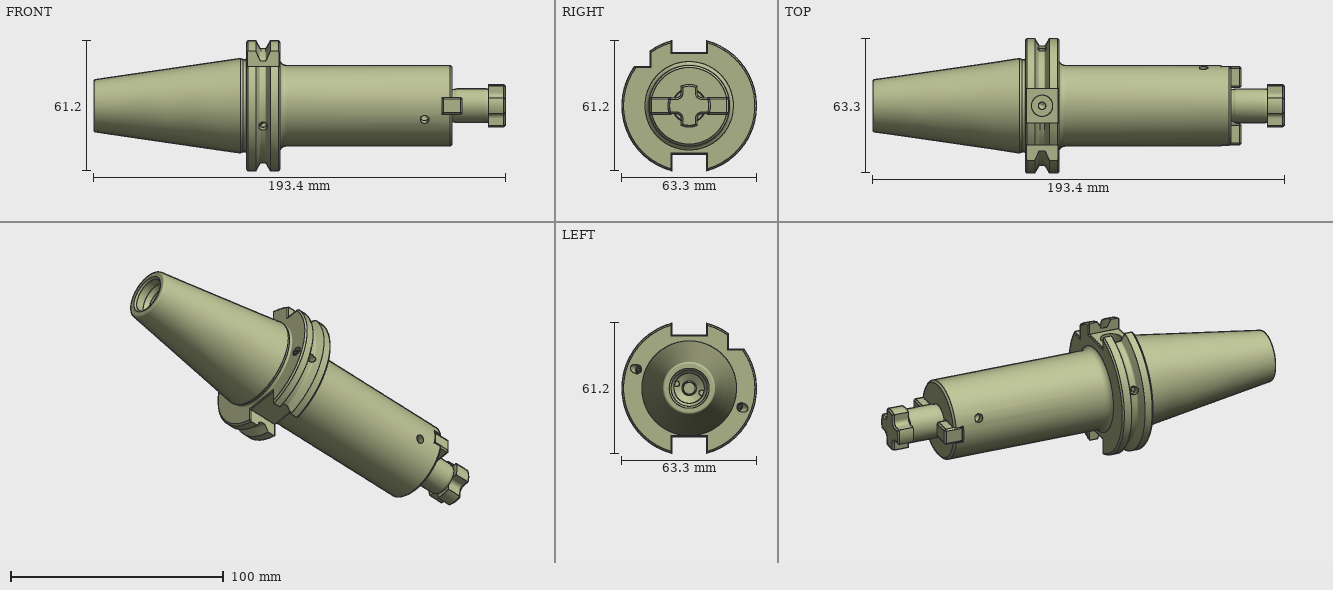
import cadquery as cq
import math


GAUGE_RADIUS = 22.225
TAPER_LENGTH = 68.4
TAPER_SLOPE = 7 / 48
TAPER_END_X = -TAPER_LENGTH
TAPER_END_RADIUS = GAUGE_RADIUS - TAPER_SLOPE * TAPER_LENGTH
TAPER_END_FILLET = 1.0
BORE_MOUTH_RADIUS = 9.4
BORE_LEAD_RADIUS = 8.5
BORE_LEAD_DEPTH = 5.0
BORE_LEAD_HALF_ANGLE = math.radians(30)
BORE_THREAD_RADIUS = 7.1
BORE_DEPTH = 38.0
DRILL_HALF_ANGLE = math.radians(59)

FLANGE_START_X = 3.2
FLANGE_WIDTH = 15.9
FLANGE_END_X = FLANGE_START_X + FLANGE_WIDTH
FLANGE_RADIUS = 31.665
FLANGE_CHAMFER = 0.8
RELIEF_CONE_START_X = 0.4
RELIEF_CONE_END_X = 1.7
RELIEF_DEPTH = 0.5
RELIEF_FILLET = 0.5
GROOVE_CENTER_X = 11.1
GROOVE_HALF_WIDTH = 3.45
GROOVE_BOTTOM_RADIUS = 28.1
GROOVE_FLANK_ANGLE = math.radians(30)
GROOVE_FILLET = 0.6

DRIVE_SLOT_WIDTH = 16.1
DRIVE_SLOT_TOP_Z = 25.0
DRIVE_SLOT_BOTTOM_Z = 22.8
CORNER_NOTCH_OFFSET = 18.5
SLOT_EDGE_CHAMFER = 0.5
CHIP_POCKET_DIAMETER = 10.0
CHIP_POCKET_DEPTH = 4.6
CHIP_PILOT_DIAMETER = 3.5
CHIP_PILOT_DEPTH = 3.0

SHANK_RADIUS = 19.0
SHANK_END_X = 100.0
SHANK_END_CHAMFER = 1.0
SHANK_ROOT_RADIUS = 3.4
SHANK_ROOT_HEIGHT = 1.8
SPIGOT_RADIUS = 8.0
SPIGOT_LENGTH = 17.0
SPIGOT_END_X = SHANK_END_X + SPIGOT_LENGTH
SPIGOT_NECK_LENGTH = 1.0
SPIGOT_CONE_LENGTH = 1.2
SPIGOT_CONE_DEPTH = SPIGOT_CONE_LENGTH * math.tan(math.radians(15))

KEY_WIDTH = 8.0
KEY_LENGTH = 9.5
KEY_START_X = 95.2
KEY_OUTER_Y = 18.4
KEY_INNER_Y = 8.5
KEY_CHAMFER = 0.8

SCREW_HEAD_RADIUS = 10.0
SCREW_HEAD_LENGTH = 8.0
SCREW_LOBE_WIDTH = 7.5
SCREW_LOBE_FILLET = 2.3
SCREW_HEAD_CHAMFER = 0.8
SCREW_SHANK_RADIUS = 3.4
SCREW_SHANK_LENGTH = 25.0
SCREW_TIP_CHAMFER = 0.6

COOLANT_ANGLE = 20.0
COOLANT_SIDES = (COOLANT_ANGLE, COOLANT_ANGLE + 180)
AXIAL_CHANNEL_RADIUS = 6.3
AXIAL_CHANNEL_DIAMETER = 2.6
FLANGE_CHANNEL_RADIUS = 26.6
FLANGE_CHANNEL_DIAMETER = 4.2
FLANGE_CHANNEL_TILT = math.radians(38)
RADIAL_HOLE_DIAMETER = 4.0
RADIAL_HOLE_DEPTH = 4.0
SHANK_HOLE_X = 87.0

GRUB_RECESS = 2.2
GRUB_LENGTH = 6.0
GRUB_SOCKET_WIDTH = 1.8
GRUB_SOCKET_DEPTH = 2.0
GRUB_CHAMFER = 0.5

MARGIN = 5.0


def revolve_about_x(outline):
    """Close an outline of (x, radius) and turn it about the X axis."""
    return outline.close().revolve(360, (0, 0, 0), (1, 0, 0))


def drill(start, direction, diameter, depth):
    """A drill square to the X axis that ends in a drill cone past its full depth."""
    radius = diameter / 2
    tip = radius / math.tan(DRILL_HALF_ANGLE)
    plane = cq.Plane(origin=start, xDir=(1, 0, 0), normal=direction)
    body = cq.Workplane(plane).circle(radius).extrude(depth)
    cone = cq.Solid.makeCone(radius, 0, tip, plane.origin + plane.zDir * depth, plane.zDir)
    return body.union(cq.Workplane(cone))


def turned_body():
    shank_root_length = math.sqrt(SHANK_ROOT_RADIUS**2 - (SHANK_ROOT_RADIUS - SHANK_ROOT_HEIGHT) ** 2)
    root_end_x = FLANGE_END_X + shank_root_length
    half_angle = math.acos(1 - SHANK_ROOT_HEIGHT / SHANK_ROOT_RADIUS) / 2
    root_mid = (
        root_end_x - SHANK_ROOT_RADIUS * math.sin(half_angle),
        SHANK_RADIUS + SHANK_ROOT_RADIUS * (1 - math.cos(half_angle)),
    )
    relief_radius = GAUGE_RADIUS - RELIEF_DEPTH
    neck_radius = SPIGOT_RADIUS - SPIGOT_CONE_DEPTH
    neck_end_x = SHANK_END_X + SPIGOT_NECK_LENGTH
    outline = (
        cq.Workplane("XZ")
        .moveTo(TAPER_END_X, 0)
        .lineTo(TAPER_END_X, TAPER_END_RADIUS)
        .lineTo(RELIEF_CONE_START_X, GAUGE_RADIUS + TAPER_SLOPE * RELIEF_CONE_START_X)
        .lineTo(RELIEF_CONE_END_X, relief_radius)
        .lineTo(FLANGE_START_X - RELIEF_FILLET, relief_radius)
        .radiusArc((FLANGE_START_X, relief_radius + RELIEF_FILLET), -RELIEF_FILLET)
        .lineTo(FLANGE_START_X, FLANGE_RADIUS - FLANGE_CHAMFER)
        .lineTo(FLANGE_START_X + FLANGE_CHAMFER, FLANGE_RADIUS)
        .lineTo(FLANGE_END_X - FLANGE_CHAMFER, FLANGE_RADIUS)
        .lineTo(FLANGE_END_X, FLANGE_RADIUS - FLANGE_CHAMFER)
        .lineTo(FLANGE_END_X, SHANK_RADIUS + SHANK_ROOT_HEIGHT)
        .threePointArc(root_mid, (root_end_x, SHANK_RADIUS))
        .lineTo(SHANK_END_X - SHANK_END_CHAMFER, SHANK_RADIUS)
        .lineTo(SHANK_END_X, SHANK_RADIUS - SHANK_END_CHAMFER)
        .lineTo(SHANK_END_X, neck_radius)
        .lineTo(neck_end_x, neck_radius)
        .lineTo(neck_end_x + SPIGOT_CONE_LENGTH, SPIGOT_RADIUS)
        .lineTo(SPIGOT_END_X - SPIGOT_CONE_LENGTH, SPIGOT_RADIUS)
        .lineTo(SPIGOT_END_X, neck_radius)
        .lineTo(SPIGOT_END_X, 0)
    )
    return revolve_about_x(outline).faces("<X").edges().fillet(TAPER_END_FILLET)


def gripper_groove():
    depth = FLANGE_RADIUS - GROOVE_BOTTOM_RADIUS
    bottom_half_width = GROOVE_HALF_WIDTH - depth * math.tan(GROOVE_FLANK_ANGLE)
    rim_half_width = GROOVE_HALF_WIDTH + MARGIN * math.tan(GROOVE_FLANK_ANGLE)
    outline = (
        cq.Workplane("XZ")
        .moveTo(GROOVE_CENTER_X - bottom_half_width, GROOVE_BOTTOM_RADIUS)
        .lineTo(GROOVE_CENTER_X - rim_half_width, FLANGE_RADIUS + MARGIN)
        .lineTo(GROOVE_CENTER_X + rim_half_width, FLANGE_RADIUS + MARGIN)
        .lineTo(GROOVE_CENTER_X + bottom_half_width, GROOVE_BOTTOM_RADIUS)
    )
    ring = revolve_about_x(outline)
    bottom_edges = ring.edges(cq.selectors.RadiusNthSelector(0))
    return bottom_edges.fillet(GROOVE_FILLET)


def rim_cutter(y_min, y_max, z_min, z_max):
    """A box through the flange along X that also chamfers its edges on both flange faces."""
    center = ((y_min + y_max) / 2, (z_min + z_max) / 2)
    width, height = y_max - y_min, z_max - z_min
    start_face = cq.Workplane("YZ", origin=(FLANGE_START_X, 0, 0)).center(*center)
    cutter = start_face.rect(width, height).extrude(FLANGE_WIDTH)
    for x, direction in ((FLANGE_START_X, 1), (FLANGE_END_X, -1)):
        face = cq.Workplane("YZ", origin=(x, 0, 0)).center(*center)
        mouth = face.rect(width + 2 * SLOT_EDGE_CHAMFER, height + 2 * SLOT_EDGE_CHAMFER)
        cutter = cutter.union(mouth.extrude(direction * SLOT_EDGE_CHAMFER, taper=45))
    return cutter


def flange_rim_cuts():
    half_slot = DRIVE_SLOT_WIDTH / 2
    reach = FLANGE_RADIUS + MARGIN
    top_slot = rim_cutter(-half_slot, half_slot, DRIVE_SLOT_TOP_Z, reach)
    bottom_slot = rim_cutter(-half_slot, half_slot, -reach, -DRIVE_SLOT_BOTTOM_Z)
    notch = rim_cutter(-reach, -CORNER_NOTCH_OFFSET, CORNER_NOTCH_OFFSET, reach)
    return [top_slot, bottom_slot, notch]


def chip_pocket():
    floor_z = DRIVE_SLOT_TOP_Z - CHIP_POCKET_DEPTH
    floor = cq.Workplane("XY", origin=(GROOVE_CENTER_X, 0, floor_z))
    pocket = floor.circle(CHIP_POCKET_DIAMETER / 2).extrude(CHIP_POCKET_DEPTH + MARGIN)
    pilot = drill((GROOVE_CENTER_X, 0, floor_z), (0, 0, -1), CHIP_PILOT_DIAMETER, CHIP_PILOT_DEPTH)
    return pocket.union(pilot)


def draw_bar_bore():
    mouth_chamfer = BORE_MOUTH_RADIUS - BORE_LEAD_RADIUS
    lead_cone_length = (BORE_LEAD_RADIUS - BORE_THREAD_RADIUS) / math.tan(BORE_LEAD_HALF_ANGLE)
    lead_end_x = TAPER_END_X + BORE_LEAD_DEPTH
    cone_start_x = TAPER_END_X + BORE_DEPTH
    cone_tip_x = cone_start_x + BORE_THREAD_RADIUS / math.tan(DRILL_HALF_ANGLE)
    outline = (
        cq.Workplane("XZ")
        .moveTo(TAPER_END_X, 0)
        .lineTo(TAPER_END_X, BORE_MOUTH_RADIUS)
        .lineTo(TAPER_END_X + mouth_chamfer, BORE_LEAD_RADIUS)
        .lineTo(lead_end_x, BORE_LEAD_RADIUS)
        .lineTo(lead_end_x + lead_cone_length, BORE_THREAD_RADIUS)
        .lineTo(cone_start_x, BORE_THREAD_RADIUS)
        .lineTo(cone_tip_x, 0)
    )
    return revolve_about_x(outline)


def screw_hole():
    bore_end_x = TAPER_END_X + BORE_DEPTH
    hole = cq.Workplane("YZ", origin=(bore_end_x, 0, 0)).circle(SCREW_SHANK_RADIUS)
    return hole.extrude(SPIGOT_END_X - bore_end_x)


def flange_channel_plane(depth):
    """Plane across the +Y flange channel, a given depth in from its mouth, facing inward."""
    direction = cq.Vector(math.cos(FLANGE_CHANNEL_TILT), -math.sin(FLANGE_CHANNEL_TILT), 0)
    mouth = cq.Vector(FLANGE_START_X, FLANGE_CHANNEL_RADIUS, 0)
    return cq.Plane(origin=mouth + direction * depth, xDir=(0, 0, 1), normal=direction)


def about_axis(shape, angle):
    return shape.rotate((0, 0, 0), (1, 0, 0), angle)


def coolant_drilling():
    """All the holes on the +Y side, before they are turned to the coolant angle."""
    bore_end_x = TAPER_END_X + BORE_DEPTH
    axial = cq.Workplane("YZ", origin=(bore_end_x, AXIAL_CHANNEL_RADIUS, 0))
    axial = axial.circle(AXIAL_CHANNEL_DIAMETER / 2).extrude(SHANK_HOLE_X - bore_end_x)

    radial_run = FLANGE_CHANNEL_RADIUS - AXIAL_CHANNEL_RADIUS
    channel_depth = radial_run / math.sin(FLANGE_CHANNEL_TILT)
    flange_channel = cq.Workplane(flange_channel_plane(-MARGIN))
    flange_channel = flange_channel.circle(FLANGE_CHANNEL_DIAMETER / 2).extrude(MARGIN + channel_depth)
    behind_flange_face = cq.Workplane("YZ", origin=(FLANGE_START_X, 0, 0))
    behind_flange_face = behind_flange_face.circle(FLANGE_RADIUS).extrude(SHANK_END_X - FLANGE_START_X)
    flange_channel = flange_channel.intersect(behind_flange_face)

    holes = [axial, flange_channel]
    for x, surface_radius in ((GROOVE_CENTER_X, GROOVE_BOTTOM_RADIUS), (SHANK_HOLE_X, SHANK_RADIUS)):
        depth = RADIAL_HOLE_DEPTH + MARGIN
        holes.append(drill((x, surface_radius + MARGIN, 0), (0, -1, 0), RADIAL_HOLE_DIAMETER, depth))
    return holes


def key_slot():
    """Slot for the +Y key, open to the outside and to the end of the shank."""
    length = SHANK_END_X + MARGIN - KEY_START_X
    depth = SHANK_RADIUS + MARGIN - KEY_INNER_Y
    slot = cq.Workplane("XY").box(length, depth, KEY_WIDTH, centered=(False, False, True))
    return slot.translate((KEY_START_X, KEY_INNER_Y, 0))


def make_holder():
    holder = turned_body().cut(gripper_groove())
    cutters = flange_rim_cuts() + [chip_pocket(), draw_bar_bore(), screw_hole()]
    for angle in COOLANT_SIDES:
        cutters += [about_axis(hole, angle) for hole in coolant_drilling()]
    for angle in (0, 180):
        cutters.append(about_axis(key_slot(), angle))
    for cutter in cutters:
        holder = holder.cut(cutter)
    return holder


def make_drive_key(angle):
    height = KEY_OUTER_Y - KEY_INNER_Y
    key = cq.Workplane("XY").box(KEY_LENGTH, height, KEY_WIDTH, centered=(False, False, True))
    key = key.edges().chamfer(KEY_CHAMFER)
    return about_axis(key.translate((KEY_START_X, KEY_INNER_Y, 0)), angle)


def make_clamping_screw():
    """Screw with a cross-shaped head of four lobes."""
    seat = cq.Workplane("YZ", origin=(SPIGOT_END_X, 0, 0))
    lobe_length = 3 * SCREW_HEAD_RADIUS
    cross = (
        seat.rect(lobe_length, SCREW_LOBE_WIDTH)
        .extrude(SCREW_HEAD_LENGTH)
        .union(seat.rect(SCREW_LOBE_WIDTH, lobe_length).extrude(SCREW_HEAD_LENGTH))
    )
    half_lobe = SCREW_LOBE_WIDTH / 2 + SCREW_LOBE_FILLET / 2
    for y_side in (-1, 1):
        for z_side in (-1, 1):
            corner = cq.selectors.BoxSelector(
                (SPIGOT_END_X - MARGIN, 0, 0),
                (SPIGOT_END_X + SCREW_HEAD_LENGTH + MARGIN, y_side * half_lobe, z_side * half_lobe),
            )
            cross = cross.edges("|X").edges(corner).fillet(SCREW_LOBE_FILLET)
    head = cross.intersect(seat.circle(SCREW_HEAD_RADIUS).extrude(SCREW_HEAD_LENGTH))
    head = head.faces(">X").edges().chamfer(SCREW_HEAD_CHAMFER)
    shank = seat.circle(SCREW_SHANK_RADIUS).extrude(-SCREW_SHANK_LENGTH)
    shank = shank.faces("<X").edges().chamfer(SCREW_TIP_CHAMFER)
    return head.union(shank)


def make_grub_screw(angle):
    face = cq.Workplane(flange_channel_plane(GRUB_RECESS))
    screw = face.circle(FLANGE_CHANNEL_DIAMETER / 2).extrude(GRUB_LENGTH).edges().chamfer(GRUB_CHAMFER)
    socket_corners = GRUB_SOCKET_WIDTH / math.cos(math.pi / 6)
    screw = screw.cut(face.polygon(6, socket_corners).extrude(GRUB_SOCKET_DEPTH))
    return about_axis(screw, angle)


holder = make_holder()
clamping_screw = make_clamping_screw()
drive_keys = [make_drive_key(angle) for angle in (0, 180)]
grub_screws = [make_grub_screw(angle) for angle in COOLANT_SIDES]

result = cq.Compound.makeCompound(
    [holder.val(), clamping_screw.val()]
    + [key.val() for key in drive_keys]
    + [screw.val() for screw in grub_screws]
)